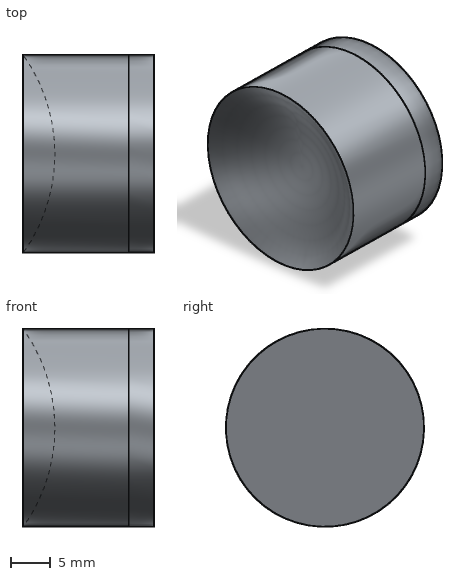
import cadquery as cq
import math

diameter = 25.0
rim_length = 16.55
rear_length = 3.2
hollow_radius = 21.5

radius = diameter / 2
front_length = rim_length - rear_length
hollow_depth = hollow_radius - math.sqrt(hollow_radius**2 - radius**2)


def make_front_lens():
    """Thick lens with a spherical hollow that reaches out to its rim."""
    half_section = (
        cq.Workplane("XZ")
        .moveTo(hollow_depth, 0)
        .lineTo(front_length, 0)
        .lineTo(front_length, radius)
        .lineTo(0, radius)
        .radiusArc((hollow_depth, 0), hollow_radius)
        .close()
    )
    return half_section.revolve(360, (0, 0, 0), (1, 0, 0))


def make_rear_lens():
    """Thin flat lens that closes the back of the front lens."""
    joint_plane = cq.Workplane("YZ", origin=(front_length, 0, 0))
    return joint_plane.circle(radius).extrude(rear_length)


front_lens = make_front_lens()
rear_lens = make_rear_lens()
result = cq.Compound.makeCompound([front_lens.val(), rear_lens.val()])